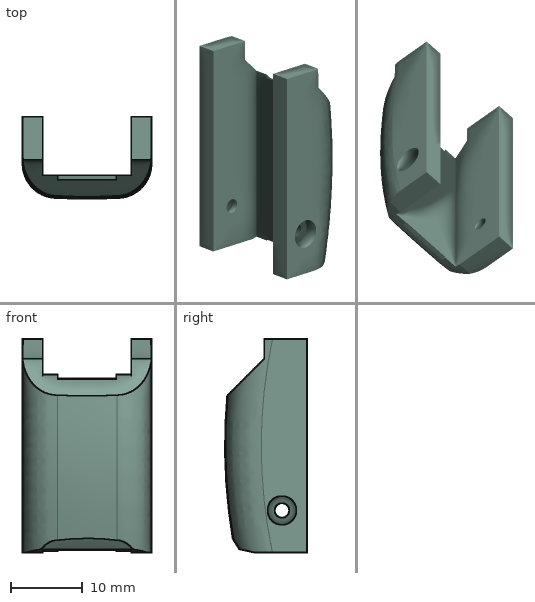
import cadquery as cq

width = 18.0
depth = 11.45
height = 29.7

crown_radius = 76.33
front_flat_width = 8.32
front_sag = 0.12
corner_depth = 4.93

wall = 2.85
channel_depth = 8.15
notch_width = 8.1
notch_depth = 0.65
upper_ledge_rise = 0.12

arm_depth = 6.0
slope_top = 26.9
underside_bend = 7.37
toe_depth = 9.41
toe_height = 0.45
chamfer_depth = 10.45
chamfer_height = 2.1

hole_diameter = 2.0
counterbore_diameter = 4.0
counterbore_depth = 2.0
hole_from_back = 3.5
hole_height = 5.85

margin = 2.97


def make_curved_body():
    """Revolve the U-shaped outline about a distant X axis to bow it along Z."""
    half_width = width / 2
    half_flat = front_flat_width / 2
    corner_width = half_width - half_flat
    side_y = front_sag + corner_depth
    back_y = depth + margin
    section = (
        cq.Workplane("XY")
        .moveTo(-half_width, back_y)
        .lineTo(-half_width, side_y)
        .ellipseArc(corner_width, corner_depth, 180, 270, startAtCurrent=True)
        .threePointArc((0, 0), (half_flat, front_sag))
        .ellipseArc(corner_width, corner_depth, 270, 360, startAtCurrent=True)
        .lineTo(half_width, back_y)
        .close()
    )
    bowed = section.revolve(360, (-0.3, crown_radius, 0), (0.3, crown_radius, 0))
    return bowed.translate((0, 0, height / 2))


def make_side_envelope():
    """Side outline that trims the back, the sloped top and the bottom edge."""
    slope_drop = depth + margin - arm_depth
    outline = [
        (depth, 0),
        (depth - underside_bend, 0),
        (depth - toe_depth, toe_height),
        (depth - chamfer_depth, chamfer_height),
        (-margin, chamfer_height),
        (-margin, slope_top - slope_drop),
        (depth - arm_depth, slope_top),
        (depth - arm_depth, height),
        (depth, height),
    ]
    return cq.Workplane("YZ").polyline(outline).close().extrude(width, both=True)


def make_channel():
    """Full-height channel, open at the back."""
    floor_y = depth - channel_depth
    return cq.Workplane("XY").box(
        width - 2 * wall, channel_depth + margin, height, centered=(True, False, False)
    ).translate((0, floor_y, 0))


def make_end_notches():
    """Shallow notches where the channel floor meets the two trimmed ends."""
    floor_y = depth - channel_depth
    notch_y = floor_y - notch_depth
    notch_from_back = channel_depth + notch_depth
    toe_slope = toe_height / (toe_depth - underside_bend)
    lower_z = (notch_from_back - underside_bend) * toe_slope
    upper_z = slope_top - (notch_from_back - arm_depth)
    upper_outline = [
        (notch_y, upper_z),
        (floor_y, upper_z + upper_ledge_rise),
        (floor_y, height),
        (notch_y, height),
    ]
    lower_outline = [(notch_y, 0), (floor_y, 0), (floor_y, lower_z), (notch_y, lower_z)]
    side = cq.Workplane("YZ")
    upper = side.polyline(upper_outline).close().extrude(notch_width / 2, both=True)
    lower = side.polyline(lower_outline).close().extrude(notch_width / 2, both=True)
    return upper.union(lower)


def make_cross_holes():
    """Through hole along X with a counterbore on each outer side."""
    axis = cq.Workplane("YZ").center(depth - hole_from_back, hole_height)
    holes = axis.circle(hole_diameter / 2).extrude(width, both=True)
    for side in (-1, 1):
        counterbore = (
            axis.workplane(offset=side * (width / 2 - counterbore_depth))
            .circle(counterbore_diameter / 2)
            .extrude(side * (counterbore_depth + margin))
        )
        holes = holes.union(counterbore)
    return holes


result = (
    make_curved_body()
    .intersect(make_side_envelope())
    .cut(make_channel())
    .cut(make_end_notches())
    .cut(make_cross_holes())
)